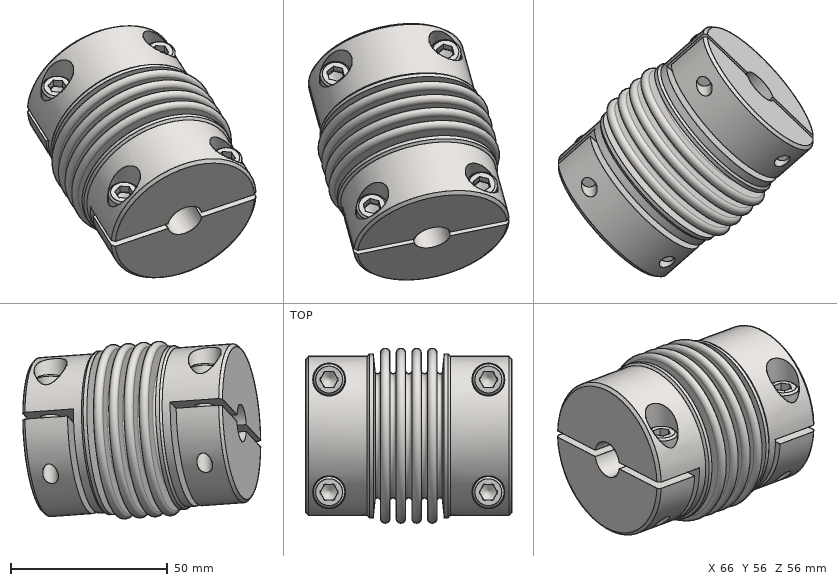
import cadquery as cq
import math

length = 65.95
bore_dia = 12.0
overlap = 0.05

hub_radius = 51.0 / 2
hub_chamfer = 1.0
collar_radius = 52.5 / 2
collar_rise = collar_radius - hub_radius
collar_start_x = 13.3
collar_end_x = 11.35

crest_count = 4
crest_radius = 56.0 / 2
valley_radius = 39.85 / 2
crest_width = 3.05
gap_width = 2.0
crest_round = crest_width / 2
gap_round = gap_width / 2
pitch = crest_width + gap_width
bellows_start_x = -(crest_count * pitch + gap_width) / 2

seam_inset = 0.3
seam_x = -bellows_start_x - seam_inset
seam_radius = valley_radius + gap_round - math.sqrt(gap_round**2 - (gap_round - seam_inset) ** 2)

clamp_length = 15.05
relief_width = 2.0
split_height = 2.25

screw_inset = 7.5
screw_x = length / 2 - screw_inset
screw_y = 18.0
counterbore_dia = 10.5
clearance_dia = 6.4
tapped_dia = 5.0
head_dia = 10.0
head_height = 6.0
head_chamfer = 0.7
head_top_z = 14.05
seat_z = head_top_z - head_height
shank_dia = 6.0
shank_length = 20.0
socket_flats = 5.0
socket_corners = socket_flats / math.cos(math.pi / 6)
socket_depth = 3.0
socket_tip_angle = math.radians(120)
socket_tip_depth = socket_corners / 2 / math.tan(socket_tip_angle / 2)


def coupling_body():
    """Solid of revolution: left hub, bellows with rounded crests and gaps, right hub."""
    outline = (
        cq.Workplane("XY")
        .moveTo(-length / 2, 0)
        .lineTo(-length / 2, hub_radius - hub_chamfer)
        .lineTo(-length / 2 + hub_chamfer, hub_radius)
        .lineTo(-collar_start_x, hub_radius)
        .lineTo(-collar_start_x + collar_rise, collar_radius)
        .lineTo(-collar_end_x, collar_radius)
        .lineTo(-seam_x, seam_radius)
    )

    for index in range(crest_count):
        gap_x = bellows_start_x + index * pitch
        crest_x = gap_x + gap_width
        outline = outline.threePointArc(
            (gap_x + gap_round, valley_radius), (crest_x, valley_radius + gap_round)
        )
        outline = outline.lineTo(crest_x, crest_radius - crest_round)
        outline = outline.threePointArc(
            (crest_x + crest_round, crest_radius),
            (crest_x + crest_width, crest_radius - crest_round),
        )
        outline = outline.lineTo(crest_x + crest_width, valley_radius + gap_round)

    outline = (
        outline.threePointArc((-bellows_start_x - gap_round, valley_radius), (seam_x, seam_radius))
        .lineTo(collar_end_x, collar_radius)
        .lineTo(collar_start_x - collar_rise, collar_radius)
        .lineTo(collar_start_x, hub_radius)
        .lineTo(length / 2 - hub_chamfer, hub_radius)
        .lineTo(length / 2, hub_radius - hub_chamfer)
        .lineTo(length / 2, 0)
        .close()
    )
    return outline.revolve(360, (0, 0, 0), (1, 0, 0))


def clamp_slot(side):
    """L-shaped cut that frees the lower clamp half of the hub at side = -1 or +1."""
    end_x = side * (length / 2 + overlap)
    clamp_x = side * (length / 2 - clamp_length)
    relief_x = clamp_x - side * relief_width
    bottom_z = -crest_radius
    return (
        cq.Workplane("XZ")
        .moveTo(end_x, split_height / 2)
        .lineTo(relief_x, split_height / 2)
        .lineTo(relief_x, bottom_z)
        .lineTo(clamp_x, bottom_z)
        .lineTo(clamp_x, -split_height / 2)
        .lineTo(end_x, -split_height / 2)
        .close()
        .extrude(crest_radius, both=True)
    )


def vertical_cylinder(x, y, bottom_z, top_z, diameter):
    height = top_z - bottom_z
    return cq.Workplane("XY", origin=(x, y, bottom_z)).circle(diameter / 2).extrude(height)


def screw_hole(x, y):
    """Counterbore and clearance hole in the upper half, tapped hole through the lower half."""
    counterbore = vertical_cylinder(x, y, seat_z, hub_radius, counterbore_dia)
    clearance = vertical_cylinder(x, y, 0, seat_z, clearance_dia)
    tapped = vertical_cylinder(x, y, -hub_radius, 0, tapped_dia)
    return counterbore.union(clearance).union(tapped)


def screw(x, y):
    """Socket head screw whose hexagonal socket ends in a conical bottom."""
    head = vertical_cylinder(x, y, seat_z, head_top_z, head_dia).faces(">Z").chamfer(head_chamfer)
    shank = vertical_cylinder(x, y, seat_z - shank_length, seat_z, shank_dia)
    socket_floor_z = head_top_z - socket_depth
    socket = (
        cq.Workplane("XY", origin=(x, y, socket_floor_z))
        .polygon(6, socket_corners)
        .extrude(socket_depth)
    )
    tip = cq.Workplane(
        cq.Solid.makeCone(
            socket_corners / 2,
            0,
            socket_tip_depth,
            cq.Vector(x, y, socket_floor_z),
            cq.Vector(0, 0, -1),
        )
    )
    return head.union(shank).cut(socket).cut(tip)


bore = cq.Workplane("YZ").circle(bore_dia / 2).extrude(length / 2, both=True)
result = coupling_body().cut(bore)

for hub_side in (-1, 1):
    result = result.cut(clamp_slot(hub_side))
    for screw_side in (-1, 1):
        position = (hub_side * screw_x, screw_side * screw_y)
        result = result.cut(screw_hole(*position)).union(screw(*position))